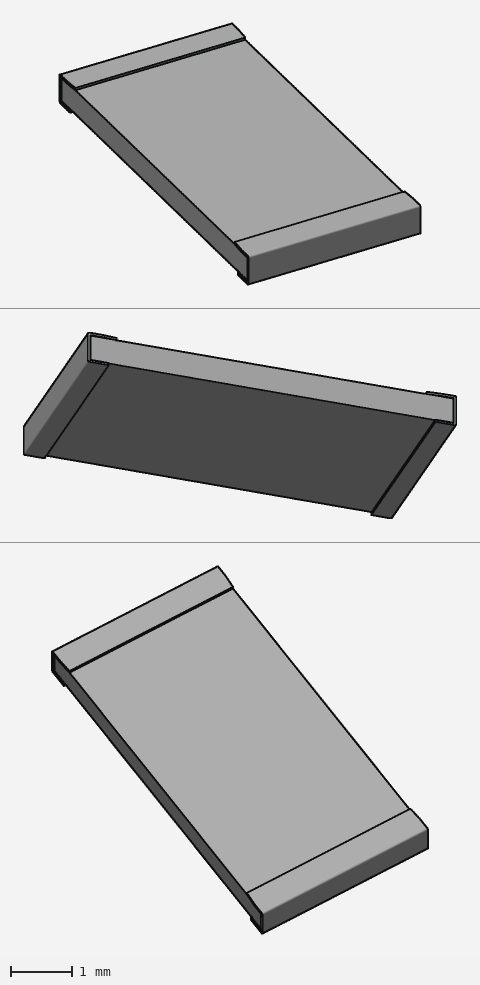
import cadquery as cq

length = 6.35
width = 3.2
height = 0.55

side_overhang = 0.02
end_thickness = 0.05
land_thickness = 0.045
body_length = length - 2 * end_thickness
body_width = width - 2 * side_overhang
body_height = height - 2 * land_thickness

top_land = 0.5
top_land_straight = 0.255
bottom_land = 0.36
edge_radius = 0.03


def make_body():
    return cq.Workplane("XY").box(body_length, body_width, body_height)


def block(x_start, x_size, z_start, z_size):
    """Full-width block centred on Y, placed by its low X and low Z faces."""
    return (
        cq.Workplane("XY")
        .box(x_size, width, z_size, centered=(False, True, False))
        .translate((x_start, 0, z_start))
    )


def make_top_land_tip():
    """Inner stretch of the top land, tapering from cap width to body width."""
    x_wide = -length / 2 + top_land_straight
    x_narrow = -length / 2 + top_land
    return (
        cq.Workplane("XY", origin=(0, 0, height / 2 - land_thickness))
        .moveTo(x_wide, -width / 2)
        .lineTo(x_narrow, -body_width / 2)
        .lineTo(x_narrow, body_width / 2)
        .lineTo(x_wide, width / 2)
        .close()
        .extrude(land_thickness)
    )


def make_left_cap():
    x_end = -length / 2
    z_bottom = -height / 2
    end_wall = block(x_end, end_thickness, z_bottom, height)
    upper = block(x_end, top_land_straight, height / 2 - land_thickness, land_thickness)
    lower = block(x_end, bottom_land, z_bottom, land_thickness)
    channel = end_wall.union(upper).union(lower)
    rounded = channel.faces("<X").edges("|Y").fillet(edge_radius)
    return rounded.union(make_top_land_tip())


left_cap = make_left_cap()
right_cap = left_cap.mirror("YZ")
result = make_body().union(left_cap).union(right_cap)